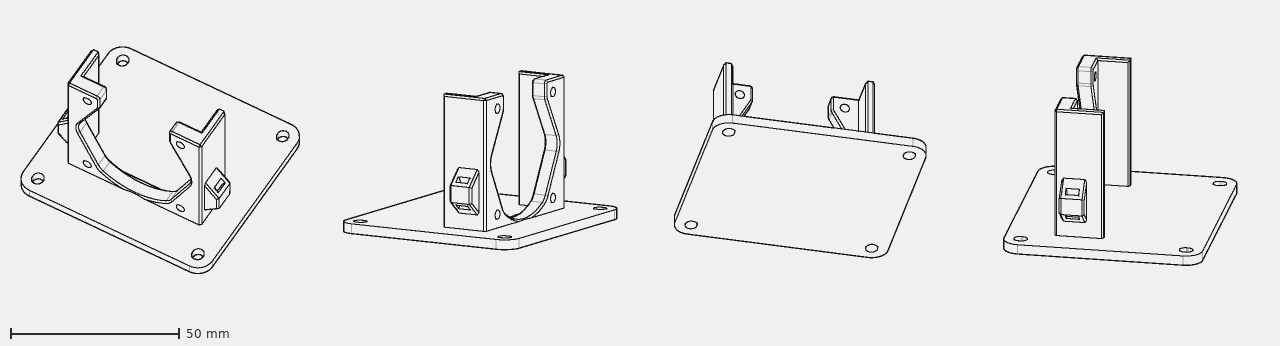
import cadquery as cq
import math

PLATE_LENGTH = 65
PLATE_WIDTH = 60.0
PLATE_THICKNESS = 3.0
PLATE_CORNER_RADIUS = 5.0
MOUNT_SLOT_LENGTH = 4.0
MOUNT_SLOT_WIDTH = 3.5

BRACKET_WIDTH = 46.0
BRACKET_HEIGHT = 40.05
BRACKET_DEPTH = 14.75
BRACKET_FRONT_Y = -15.6
WALL_THICKNESS = 5.1
ARM_THICKNESS = 2.8
EDGE_CHAMFER = 0.6
FOOT_CHAMFER = 0.5

FAN_CENTER_Z = BRACKET_HEIGHT / 2
OPENING_RADIUS = 19.75
MOUTH_HALF_WIDTH = 11.95
WAIST_HALF_WIDTH = 20.0
MOUTH_BOTTOM_Z = 34.65
WAIST_FILLET = 5.0
MOUTH_FILLET = 1.95
TIP_FILLET = 1.0
SCREW_SPACING = 32.0
SCREW_DIAMETER = 2.8

LUG_WIDTH = 7.55
LUG_CENTER_Y = -9.6
LUG_REACH = 4.7
LUG_FACE_BOTTOM_Z = 8.65
LUG_FACE_TOP_Z = 13.8
LUG_ROOT_BOTTOM_Z = 4.75
LUG_ROOT_TOP_Z = LUG_FACE_TOP_Z + LUG_REACH
TIE_WIDTH = 4.0
TIE_CENTER_OFFSET = 2.35
TIE_INNER_RADIUS = 4.8
TIE_OUTER_RADIUS = 6.8

HALF_WIDTH = BRACKET_WIDTH / 2
WALL_BACK_Y = BRACKET_FRONT_Y + WALL_THICKNESS
BRACKET_BACK_Y = BRACKET_FRONT_Y + BRACKET_DEPTH
ROOT_Z = -PLATE_THICKNESS / 2
TOLERANCE = 0.05


def make_plate():
    slot_x = PLATE_LENGTH / 2 - PLATE_CORNER_RADIUS
    slot_y = PLATE_WIDTH / 2 - PLATE_CORNER_RADIUS
    return (
        cq.Workplane("XY")
        .box(PLATE_LENGTH, PLATE_WIDTH, PLATE_THICKNESS, centered=(True, True, False))
        .translate((0, 0, -PLATE_THICKNESS))
        .edges("|Z")
        .fillet(PLATE_CORNER_RADIUS)
        .faces(">Z")
        .workplane(origin=(0, 0, 0))
        .rect(2 * slot_x, 2 * slot_y, forConstruction=True)
        .vertices()
        .slot2D(MOUNT_SLOT_LENGTH, MOUNT_SLOT_WIDTH, 90)
        .cutThruAll()
    )


def edges_through(body, points):
    """Pick the edges along Y that pass through the given (x, z) points."""

    def passes(edge):
        center = edge.Center()
        return any(math.hypot(center.x - x, center.z - z) < TOLERANCE for x, z in points)

    return body.edges("|Y").filter(passes)


def mirrored(x, z):
    """Give the point at x and its mirror image at -x."""
    return [(-x, z), (x, z)]


def make_wall():
    """Front wall, open at the top, with its bends and tips rounded."""
    throat_z = FAN_CENTER_Z - math.sqrt(OPENING_RADIUS**2 - MOUTH_HALF_WIDTH**2)
    wall = (
        cq.Workplane("XZ", origin=(0, BRACKET_FRONT_Y, 0))
        .moveTo(-HALF_WIDTH, ROOT_Z)
        .lineTo(-HALF_WIDTH, BRACKET_HEIGHT)
        .lineTo(-MOUTH_HALF_WIDTH, BRACKET_HEIGHT)
        .lineTo(-MOUTH_HALF_WIDTH, MOUTH_BOTTOM_Z)
        .lineTo(-WAIST_HALF_WIDTH, FAN_CENTER_Z)
        .lineTo(-MOUTH_HALF_WIDTH, throat_z)
        .threePointArc((0, FAN_CENTER_Z - OPENING_RADIUS), (MOUTH_HALF_WIDTH, throat_z))
        .lineTo(WAIST_HALF_WIDTH, FAN_CENTER_Z)
        .lineTo(MOUTH_HALF_WIDTH, MOUTH_BOTTOM_Z)
        .lineTo(MOUTH_HALF_WIDTH, BRACKET_HEIGHT)
        .lineTo(HALF_WIDTH, BRACKET_HEIGHT)
        .lineTo(HALF_WIDTH, ROOT_Z)
        .close()
        .extrude(-WALL_THICKNESS)
    )
    bends = mirrored(WAIST_HALF_WIDTH, FAN_CENTER_Z) + mirrored(MOUTH_HALF_WIDTH, throat_z)
    wall = edges_through(wall, bends).fillet(WAIST_FILLET)
    wall = edges_through(wall, mirrored(MOUTH_HALF_WIDTH, MOUTH_BOTTOM_Z)).fillet(MOUTH_FILLET)
    return edges_through(wall, mirrored(MOUTH_HALF_WIDTH, BRACKET_HEIGHT)).fillet(TIP_FILLET)


def make_bracket():
    bracket = make_wall()
    for arm_x in (-HALF_WIDTH, HALF_WIDTH - ARM_THICKNESS):
        arm = cq.Workplane("XY").box(
            ARM_THICKNESS, BRACKET_DEPTH, BRACKET_HEIGHT - ROOT_Z, centered=False
        )
        bracket = bracket.union(arm.translate((arm_x, BRACKET_FRONT_Y, ROOT_Z)))
    return chamfer_bracket(bracket.clean())


def chamfer_bracket(bracket):
    """Break the front edges, the wall's back edges and the long edges of the arms."""
    inner_x = HALF_WIDTH - ARM_THICKNESS

    def close(a, b):
        return abs(a - b) < TOLERANCE

    def is_broken(edge):
        box = edge.BoundingBox()
        if close(box.zmax, ROOT_Z):
            return False
        in_front = close(box.ymax, BRACKET_FRONT_Y)
        in_wall_back = close(box.ymin, WALL_BACK_Y) and close(box.ymax, WALL_BACK_Y)
        arm_corner = in_wall_back and close(abs(edge.Center().x), inner_x)
        arm_end = close(box.ymin, BRACKET_BACK_Y) and close(box.zmin, ROOT_Z)
        at_top = close(box.zmin, BRACKET_HEIGHT)
        arm_top = at_top and close(box.ymax, BRACKET_BACK_Y) and not close(box.ymin, box.ymax)
        return in_front or (in_wall_back and not arm_corner) or arm_end or arm_top

    return bracket.edges().filter(is_broken).chamfer(EDGE_CHAMFER)


def make_foot():
    """Sloped strip where the back of the wall meets the plate."""
    foot = (
        cq.Workplane("YZ")
        .moveTo(WALL_BACK_Y - FOOT_CHAMFER, 0)
        .lineTo(WALL_BACK_Y + FOOT_CHAMFER, 0)
        .lineTo(WALL_BACK_Y, FOOT_CHAMFER)
        .lineTo(WALL_BACK_Y - FOOT_CHAMFER, FOOT_CHAMFER)
        .close()
        .extrude(HALF_WIDTH - ARM_THICKNESS, both=True)
    )
    opening = (
        cq.Workplane("XZ", origin=(0, 0, FAN_CENTER_Z))
        .circle(OPENING_RADIUS)
        .extrude(-BRACKET_FRONT_Y)
    )
    return foot.cut(opening)


def make_screw_holes():
    return (
        cq.Workplane("XZ", origin=(0, BRACKET_FRONT_Y, FAN_CENTER_Z))
        .rect(SCREW_SPACING, SCREW_SPACING, forConstruction=True)
        .vertices()
        .circle(SCREW_DIAMETER / 2)
        .extrude(-WALL_THICKNESS)
    )


def make_lug():
    face_x = HALF_WIDTH + LUG_REACH
    root_x = HALF_WIDTH
    return (
        cq.Workplane("XZ", origin=(0, LUG_CENTER_Y, 0))
        .moveTo(root_x, LUG_ROOT_BOTTOM_Z)
        .lineTo(face_x, LUG_FACE_BOTTOM_Z)
        .lineTo(face_x, LUG_FACE_TOP_Z)
        .lineTo(root_x, LUG_ROOT_TOP_Z)
        .close()
        .extrude(LUG_WIDTH / 2, both=True)
        .faces("<Y or >Y")
        .edges("not(<X)")
        .chamfer(EDGE_CHAMFER)
    )


def make_tie_channel():
    center_x = HALF_WIDTH + LUG_REACH + TIE_CENTER_OFFSET
    center_z = (LUG_FACE_BOTTOM_Z + LUG_FACE_TOP_Z) / 2
    return (
        cq.Workplane("XZ", origin=(center_x, LUG_CENTER_Y, center_z))
        .circle(TIE_OUTER_RADIUS)
        .circle(TIE_INNER_RADIUS)
        .extrude(TIE_WIDTH / 2, both=True)
    )


lug = make_lug()
tie_channel = make_tie_channel()

result = make_plate().union(make_bracket()).union(make_foot())
result = result.union(lug).union(lug.mirror("YZ"))
result = result.cut(tie_channel).cut(tie_channel.mirror("YZ"))
result = result.cut(make_screw_holes())